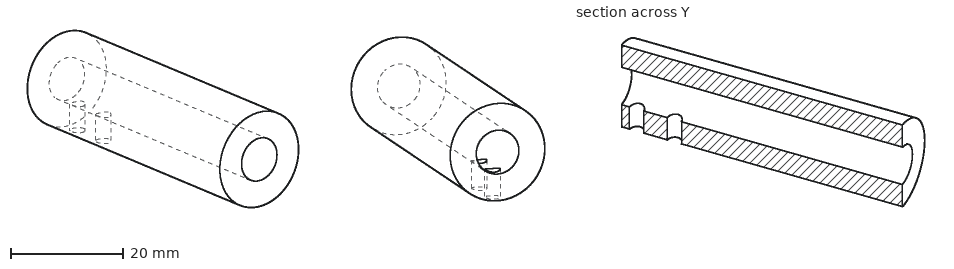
import cadquery as cq

length = 56.0
outer_diameter = 17.8
bore_diameter = 8.0
screw_hole_diameter = 2.8
first_hole_from_end = 3.0
second_hole_from_end = 10.5


def sleeve():
    """Round tube along X with a plain through bore, starting at X = 0."""
    return (
        cq.Workplane("YZ")
        .circle(outer_diameter / 2)
        .circle(bore_diameter / 2)
        .extrude(length)
    )


def screw_hole(distance_from_end):
    """Radial cutter running from the tube axis down through the bottom wall."""
    return (
        cq.Workplane("XY")
        .center(distance_from_end, 0)
        .circle(screw_hole_diameter / 2)
        .extrude(-outer_diameter)
    )


result = sleeve()
for hole_position in (first_hole_from_end, second_hole_from_end):
    result = result.cut(screw_hole(hole_position))